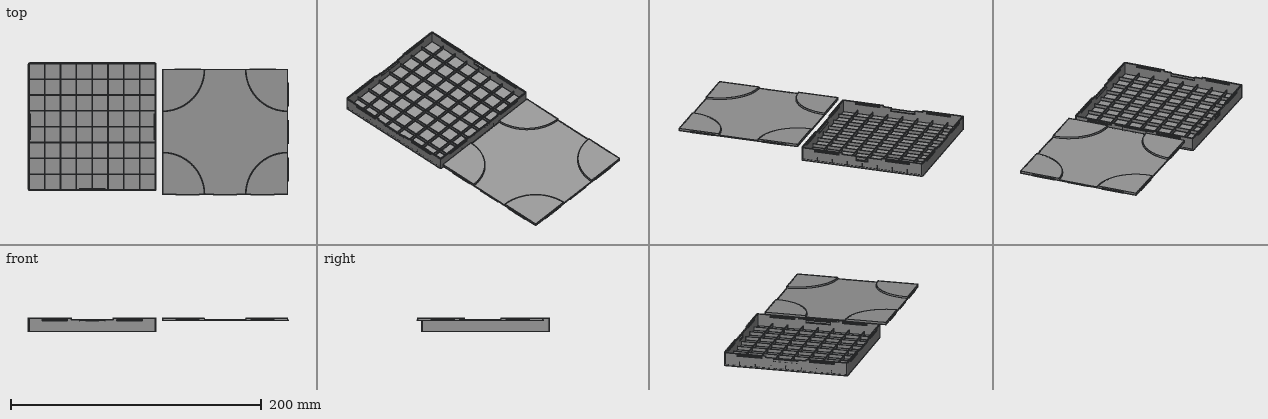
import cadquery as cq
TOTAL_LENGTH = 207.5
TOTAL_DEPTH = 105.6

BOX_SIZE = 102.0
BOX_HEIGHT = 10.8
WALL = 1.0
FLOOR = 1.0
CORNER_RADIUS = 1.5
NOTCH_WIDTH = 33.2

CELL_COUNT = 8
CELL_PITCH = 12.7
RIB_THICKNESS = 0.5
RIB_HEIGHT = 3.0

LID_SIZE = 99.8
LID_THICKNESS = 2.0
WEB_THICKNESS = 0.87
CORNER_PAD_RADIUS = 33.2
PAD_SLOPE_WIDTH = 0.5

SNAP_SPACING = 29.9
SLOT_LENGTH = 20.3
TAB_LENGTH = 18.5
TAB_REACH = 0.5
LEDGE_REACH = 0.8
LEDGE_HEIGHT = 2.0

CABLE_WIDTH = 10.0
CABLE_HEIGHT = 3.3
CABLE_BOTTOM = 6.0

BOX_INSIDE = BOX_SIZE - 2 * WALL
LID_BOTTOM = BOX_HEIGHT - LID_THICKNESS
WEB_TOP = LID_BOTTOM + WEB_THICKNESS
PAD_RISE = LID_THICKNESS - WEB_THICKNESS
BOX_CENTER = (BOX_SIZE / 2, TOTAL_DEPTH - BOX_SIZE / 2)
LID_CENTER = (TOTAL_LENGTH - TAB_REACH - LID_SIZE / 2, TAB_REACH + LID_SIZE / 2)

FRONT, RIGHT, BACK, LEFT = 0, 90, 180, 270


def block(x, y, z, bottom):
    """Block centred on the Z axis, standing on the given height."""
    return cq.Workplane("XY").box(x, y, z, centered=(True, True, False)).translate((0, 0, bottom))


def turned(shape, angle):
    return shape.rotate((0, 0, 0), (0, 0, 1), angle)


def bar(profile, length):
    """Bar along X, centred, with a profile given as (y, z) points."""
    return cq.Workplane("YZ").polyline(profile).close().extrude(length / 2, both=True)


def box_shell():
    outer = block(BOX_SIZE, BOX_SIZE, BOX_HEIGHT, 0).edges("|Z").fillet(CORNER_RADIUS)
    return outer.cut(block(BOX_INSIDE, BOX_INSIDE, BOX_HEIGHT, FLOOR))


def divider_grid():
    grid = cq.Workplane("XY")
    for i in range(1, CELL_COUNT):
        offset = (i - CELL_COUNT / 2) * CELL_PITCH
        rib = block(RIB_THICKNESS, BOX_INSIDE, RIB_HEIGHT, FLOOR).translate((offset, 0, 0))
        grid = grid.add(rib).add(turned(rib, 90))
    return grid.combine()


def snap_slot():
    slot = block(SLOT_LENGTH, 2 * WALL, WEB_THICKNESS, LID_BOTTOM)
    return slot.translate((0, -BOX_SIZE / 2, 0))


def ledge():
    """Triangular ridge on the inside of the front wall, below the lid."""
    profile = [(0, 0), (LEDGE_REACH, -LEDGE_HEIGHT / 2), (0, -LEDGE_HEIGHT)]
    return bar(profile, SLOT_LENGTH).translate((0, -BOX_INSIDE / 2, LID_BOTTOM))


def cable_opening():
    opening = block(CABLE_WIDTH, 4 * WALL, CABLE_HEIGHT, CABLE_BOTTOM)
    return opening.translate((0, BOX_SIZE / 2, 0))


def make_box():
    body = box_shell().union(divider_grid())
    notch = block(NOTCH_WIDTH, 2 * BOX_SIZE, BOX_HEIGHT, WEB_TOP)
    body = body.cut(notch).cut(turned(notch, 90))
    slot_places = {FRONT: (-1, 0, 1), RIGHT: (-1, 1), BACK: (-1, 1), LEFT: (-1, 0, 1)}
    for side, places in slot_places.items():
        for i in places:
            body = body.cut(turned(snap_slot().translate((i * SNAP_SPACING, 0, 0)), side))
    for side in (FRONT, RIGHT, LEFT):
        body = body.union(turned(ledge(), side))
    return body.cut(cable_opening()).translate((*BOX_CENTER, 0))


def corner_pad(x, y):
    """Raised quarter disc with a sloping rim, centred on a lid corner."""
    cone = cq.Solid.makeCone(CORNER_PAD_RADIUS + PAD_SLOPE_WIDTH, CORNER_PAD_RADIUS, PAD_RISE)
    pad = cq.Workplane(cone).translate((x, y, WEB_TOP))
    return pad.intersect(block(LID_SIZE, LID_SIZE, PAD_RISE, WEB_TOP))


def snap_tab(length):
    """Tab on the front edge of the lid with a sloping top."""
    profile = [(0, 0), (-TAB_REACH, 0), (-TAB_REACH, WEB_THICKNESS / 2), (0, WEB_THICKNESS)]
    return bar(profile, length).translate((0, -LID_SIZE / 2, LID_BOTTOM))


def make_lid():
    half = LID_SIZE / 2
    body = block(LID_SIZE, LID_SIZE, WEB_THICKNESS, LID_BOTTOM)
    for x in (-half, half):
        for y in (-half, half):
            body = body.union(corner_pad(x, y))
    tab_rows = (
        (FRONT, (-1, 0, 1), TAB_LENGTH),
        (RIGHT, (-1, 0, 1), TAB_LENGTH),
        (BACK, (-1, 1), SLOT_LENGTH),
    )
    for side, places, length in tab_rows:
        for i in places:
            body = body.union(turned(snap_tab(length).translate((i * SNAP_SPACING, 0, 0)), side))
    return body.translate((*LID_CENTER, 0))


box = make_box()
lid = make_lid()
result = cq.Compound.makeCompound([box.val(), lid.val()])